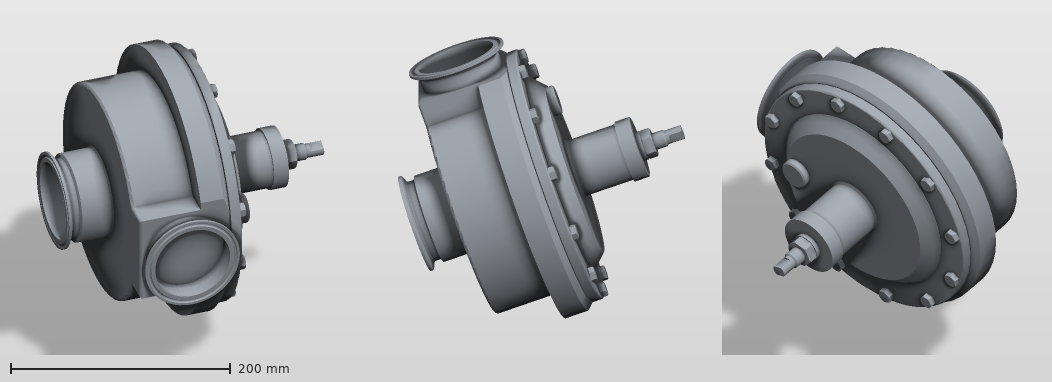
import cadquery as cq


flange_radius = 45.5
flange_rim = 2.4
flange_shoulder_radius = 44.2
flange_shoulder_depth = 3.5
neck_flare_radius = 39.8
neck_flare_depth = 5.0
neck_radius = 38.2
neck_start = 6.8
bore_radius = 36.0
gasket_groove_radius = 41.5
gasket_groove_size = 1.5

sleeve_radius = 41.5
sleeve_start = 14.0
sleeve_chamfer_start = 12.5
sleeve_base_flare = 1.5
inlet_bore_depth = 32.5
impeller_nut_radius = 17.8
impeller_nut_height = 7.8
impeller_nut_tip_radius = 3.5
impeller_nut_tip_height = 1.3

volute_front = 44.0
volute_radius = 102.0
volute_fillet = 2.5
outlet_block_half_width = 43.0
outlet_block_end = 115.6

outlet_face = 135.5
outlet_y = 88.0

ring_front = 102.5
ring_back = 130.3
ring_radius = 126.0
ring_chamfer = 5.8
spigot_radius = 113.0
cover_front = 131.3
cover_back = 141.3
cover_radius = 120.3
cover_fillet = 1.5
dome_back = 155.1
dome_base_radius = 93.5
dome_top_radius = 80.3
dome_step = 0.8

plug_x = 67.0
plug_radius = 13.9
plug_back = 162.5
plug_chamfer = 1.3

bolt_count = 12
bolt_circle_radius = 112.2
bolt_start_angle = 15
bolt_corner_diameter = 14.0
bolt_head_height = 5.5
bolt_edge_chamfer = 1.0

housing_radius = 26.7
housing_base_flare = 1.8
cap_front = 203.3
cap_back = 217.7
cap_radius = 28.8

collar_radius = 13.5
collar_back = 221.9
nut_back = 231.5
nut_corner_diameter = 27.7
nut_edge_chamfer = 1.3
nut_angle = 65
shaft_radius = 7.8
shoulder_back = 242.0
shaft_end_radius = 6.5
shoulder_taper = 1.3
flat_start = 246.5
shaft_end = 259.3
flat_distance = 4.7
flat_angle = 68

overlap = 2.5


def turned(points):
    """Solid of revolution about the Y axis from (radius, y) points."""
    return cq.Workplane("XY").polyline(points).close().revolve(360, (0, 0, 0), (0, 1, 0))


def disc(radius, front, back):
    return turned([(0, front), (radius, front), (radius, back), (0, back)])


def across_axis(y):
    """Workplane at height y whose normal is +Y and whose local x is global X."""
    return cq.Workplane(cq.Plane((0, y, 0), (1, 0, 0), (0, 1, 0)))


def hex_head(corner_diameter, front, back, angle, chamfer, chamfered_ends):
    """Hexagon with its corners turned down at the ends picked by a face selector."""
    prism = across_axis(front).polygon(6, corner_diameter).extrude(back - front)
    prism = prism.rotate((0, 0, 0), (0, 1, 0), -angle)
    corner_radius = corner_diameter / 2
    envelope = disc(corner_radius, front, back).faces(chamfered_ends).edges().chamfer(chamfer)
    return prism.intersect(envelope)


def ferrule(length):
    """Clamp ferrule with its face at Y = 0 and its neck running toward +Y."""
    body = turned([
        (0, 0),
        (flange_radius, 0),
        (flange_radius, flange_rim),
        (flange_shoulder_radius, flange_shoulder_depth),
        (neck_flare_radius, neck_flare_depth),
        (neck_radius, neck_start),
        (neck_radius, length),
        (0, length),
    ])
    groove = (
        cq.Workplane("XY")
        .center(gasket_groove_radius, 0)
        .circle(gasket_groove_size)
        .revolve(360, (-gasket_groove_radius, 0, 0), (-gasket_groove_radius, 1, 0))
    )
    return body.cut(groove)


def volute():
    depth = ring_front - volute_front + overlap
    body = across_axis(volute_front).circle(volute_radius).extrude(depth)
    block = (
        across_axis(volute_front)
        .rect(outlet_block_end, 2 * outlet_block_half_width)
        .extrude(depth)
        .translate((outlet_block_end / 2, 0, 0))
    )
    return body.union(block).faces("<Y").edges().fillet(volute_fillet)


def casing_ring():
    ring = disc(ring_radius, ring_front, ring_back).faces(">Y").edges().chamfer(ring_chamfer)
    outlet_side = cq.Workplane("XY").box(
        ring_radius, shaft_end, 2 * ring_radius, centered=(False, False, True)
    )
    return ring.cut(outlet_side.translate((outlet_block_end, 0, 0)))


def inlet():
    sleeve = turned([
        (0, sleeve_chamfer_start),
        (neck_radius, sleeve_chamfer_start),
        (sleeve_radius, sleeve_start),
        (sleeve_radius, volute_front - sleeve_base_flare),
        (sleeve_radius + sleeve_base_flare, volute_front),
        (sleeve_radius, volute_front + overlap),
        (0, volute_front + overlap),
    ])
    bore = disc(bore_radius, 0, inlet_bore_depth)
    return ferrule(sleeve_start).union(sleeve).cut(bore)


def impeller_nut():
    """Cone with a rounded tip on the floor of the inlet bore."""
    tip = inlet_bore_depth - impeller_nut_height
    chord_term = impeller_nut_tip_radius**2 / impeller_nut_tip_height
    sphere_radius = (chord_term + impeller_nut_tip_height) / 2
    tip_edge = (impeller_nut_tip_radius, tip + impeller_nut_tip_height)
    return (
        cq.Workplane("XY")
        .moveTo(0, tip)
        .radiusArc(tip_edge, -sphere_radius)
        .lineTo(impeller_nut_radius, inlet_bore_depth)
        .lineTo(impeller_nut_radius, inlet_bore_depth + overlap)
        .lineTo(0, inlet_bore_depth + overlap)
        .close()
        .revolve(360, (0, 0, 0), (0, 1, 0))
    )


def outlet():
    length = outlet_face - outlet_block_end
    pipe = ferrule(length + overlap).cut(disc(bore_radius, 0, length))
    return pipe.rotate((0, 0, 0), (0, 0, 1), 90).translate((outlet_face, outlet_y, 0))


def cover():
    spigot = disc(spigot_radius, ring_back - overlap, cover_front + overlap)
    plate = disc(cover_radius, cover_front, cover_back).faces(">Y").edges().fillet(cover_fillet)
    dome = turned([
        (0, cover_front),
        (dome_base_radius, cover_front),
        (dome_base_radius, cover_back + dome_step),
        (dome_top_radius, dome_back),
        (0, dome_back),
    ])
    plug = disc(plug_radius, cover_front, plug_back).faces(">Y").edges().chamfer(plug_chamfer)
    return spigot.union(plate).union(dome).union(plug.translate((plug_x, 0, 0)))


def bolts():
    heads = cq.Workplane("XY")
    head = hex_head(
        bolt_corner_diameter,
        cover_back - overlap,
        cover_back + bolt_head_height,
        bolt_start_angle,
        bolt_edge_chamfer,
        ">Y",
    ).translate((bolt_circle_radius, 0, 0))
    for i in range(bolt_count):
        angle = bolt_start_angle + i * 360 / bolt_count
        heads = heads.add(head.rotate((0, 0, 0), (0, 1, 0), -angle))
    return heads.combine()


def bearing_housing():
    barrel = turned([
        (0, dome_back - overlap),
        (housing_radius, dome_back - overlap),
        (housing_radius + housing_base_flare, dome_back),
        (housing_radius, dome_back + housing_base_flare),
        (housing_radius, cap_front),
        (0, cap_front),
    ])
    return barrel.union(disc(cap_radius, cap_front, cap_back))


def shaft():
    bar = turned([
        (0, cap_back - overlap),
        (shaft_radius, cap_back - overlap),
        (shaft_radius, shoulder_back),
        (shaft_end_radius, shoulder_back + shoulder_taper),
        (shaft_end_radius, shaft_end),
        (0, shaft_end),
    ])
    for side in (0, 180):
        flat = across_axis(flat_start).rect(shaft_radius, 2 * shaft_radius).extrude(shaft_end)
        flat = flat.translate((flat_distance + shaft_radius / 2, 0, 0))
        bar = bar.cut(flat.rotate((0, 0, 0), (0, 1, 0), -flat_angle - side))
    nut = hex_head(
        nut_corner_diameter, collar_back, nut_back, nut_angle, nut_edge_chamfer, "|Y"
    )
    return bar.union(disc(collar_radius, cap_back, collar_back)).union(nut)


result = (
    volute()
    .union(casing_ring())
    .union(inlet())
    .union(impeller_nut())
    .union(outlet())
    .union(cover())
    .union(bolts())
    .union(bearing_housing())
    .union(shaft())
)